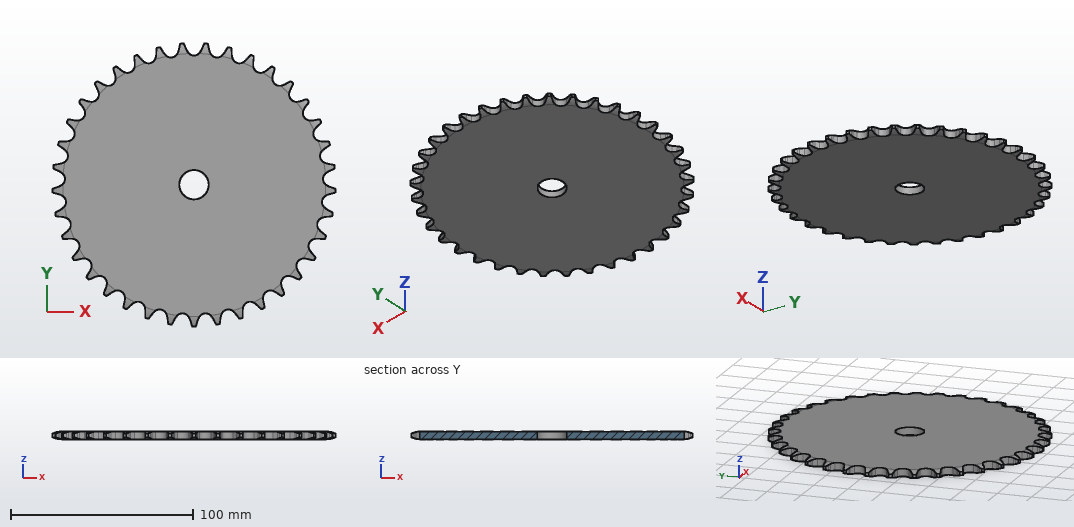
import math

import cadquery as cq

TOOTH_COUNT = 37
CHAIN_PITCH = 12.7
ROLLER_DIAMETER = 7.75
TIP_RADIUS = 77.85
PLATE_THICKNESS = 4.5
BORE_DIAMETER = 16.0
SIDE_RELIEF_RADIUS = 13.0
SIDE_RELIEF_DEPTH = 1.3

SEAT_RATIO = 1.005
WORKING_RATIO = 1.3025
WORKING_CENTER_RATIO = 0.8
TOPPING_CENTER_RATIO = 1.4
SEAT_CLEARANCE = 0.0762
WORKING_CLEARANCE = 0.0381

TOOTH_ANGLE = 2 * math.pi / TOOTH_COUNT
PITCH_RADIUS = CHAIN_PITCH / (2 * math.sin(TOOTH_ANGLE / 2))
SEAT_RADIUS = (SEAT_RATIO * ROLLER_DIAMETER + SEAT_CLEARANCE) / 2
SEAT_HALF_ANGLE = math.radians(90 - (35 + 60 / TOOTH_COUNT))
WORKING_RADIUS = WORKING_RATIO * ROLLER_DIAMETER + WORKING_CLEARANCE
WORKING_ANGLE = math.radians(18 - 56 / TOOTH_COUNT)
TOPPING_ANGLE = math.radians(17 - 64 / TOOTH_COUNT)
STRAIGHT_LENGTH = ROLLER_DIAMETER * (
    TOPPING_CENTER_RATIO * math.sin(TOPPING_ANGLE) - WORKING_CENTER_RATIO * math.sin(WORKING_ANGLE)
)
CENTER_SPACING = ROLLER_DIAMETER * (
    TOPPING_CENTER_RATIO * math.cos(TOPPING_ANGLE) + WORKING_CENTER_RATIO * math.cos(WORKING_ANGLE)
)
TOPPING_RADIUS = CENTER_SPACING - WORKING_RADIUS

SIDE_RELIEF_WIDTH = math.sqrt(SIDE_RELIEF_RADIUS**2 - (SIDE_RELIEF_RADIUS - SIDE_RELIEF_DEPTH) ** 2)
FACE_RADIUS = TIP_RADIUS - SIDE_RELIEF_WIDTH


def on_circle(center, radius, angle):
    """Point at the given angle on a circle."""
    return (center[0] + radius * math.cos(angle), center[1] + radius * math.sin(angle))


def rotate(point, angle):
    """Point turned about the sprocket axis."""
    x, y = point
    return (
        x * math.cos(angle) - y * math.sin(angle),
        x * math.sin(angle) + y * math.cos(angle),
    )


def mirror(point):
    """Point mirrored across the Y axis."""
    return (-point[0], point[1])


def gap_half_profile():
    """Named points of the right half of the tooth gap centred on +Y, from its bottom to the tooth tip."""
    seat_center = (0, PITCH_RADIUS)
    seat_end_angle = SEAT_HALF_ANGLE - math.pi / 2
    seat_end = on_circle(seat_center, SEAT_RADIUS, seat_end_angle)

    working_center = on_circle(seat_center, SEAT_RADIUS - WORKING_RADIUS, seat_end_angle)
    working_end_angle = seat_end_angle + WORKING_ANGLE
    working_end = on_circle(working_center, WORKING_RADIUS, working_end_angle)

    straight_end = on_circle(working_end, STRAIGHT_LENGTH, working_end_angle + math.pi / 2)

    topping_center = on_circle(straight_end, TOPPING_RADIUS, working_end_angle)
    center_distance = math.hypot(*topping_center)
    cosine = (TIP_RADIUS**2 + center_distance**2 - TOPPING_RADIUS**2) / (2 * TIP_RADIUS * center_distance)
    tip_angle = math.atan2(topping_center[1], topping_center[0]) + math.acos(cosine)
    tip_corner = on_circle((0, 0), TIP_RADIUS, tip_angle)
    topping_start_angle = working_end_angle + math.pi
    topping_end_angle = math.atan2(tip_corner[1] - topping_center[1], tip_corner[0] - topping_center[0])
    topping_middle_angle = (topping_start_angle + topping_end_angle) / 2

    return {
        "seat_bottom": (0, PITCH_RADIUS - SEAT_RADIUS),
        "seat_end": seat_end,
        "working_middle": on_circle(working_center, WORKING_RADIUS, seat_end_angle + WORKING_ANGLE / 2),
        "working_end": working_end,
        "straight_end": straight_end,
        "topping_middle": on_circle(topping_center, TOPPING_RADIUS, topping_middle_angle),
        "tip_corner": tip_corner,
    }


def toothed_plate():
    """Flat plate with the full tooth outline; a tooth gap is centred on +Y."""
    gap = gap_half_profile()
    outline = cq.Workplane("XY").moveTo(*mirror(gap["tip_corner"]))
    for index in range(TOOTH_COUNT):
        turn = -index * TOOTH_ANGLE
        right = {name: rotate(point, turn) for name, point in gap.items()}
        left = {name: rotate(mirror(point), turn) for name, point in gap.items()}
        tip_middle = rotate((0, TIP_RADIUS), turn - TOOTH_ANGLE / 2)
        next_corner = rotate(left["tip_corner"], -TOOTH_ANGLE)
        outline = (
            outline.threePointArc(left["topping_middle"], left["straight_end"])
            .lineTo(*left["working_end"])
            .threePointArc(left["working_middle"], left["seat_end"])
            .threePointArc(right["seat_bottom"], right["seat_end"])
            .threePointArc(right["working_middle"], right["working_end"])
            .lineTo(*right["straight_end"])
            .threePointArc(right["topping_middle"], right["tip_corner"])
            .threePointArc(tip_middle, next_corner)
        )
    return outline.close().extrude(PLATE_THICKNESS / 2, both=True)


def relieved_disc():
    """Disc whose rim is thinned on both faces by arcs tangent to the faces."""
    half = PLATE_THICKNESS / 2
    rim_half = half - SIDE_RELIEF_DEPTH
    arc_angle = math.asin(SIDE_RELIEF_WIDTH / SIDE_RELIEF_RADIUS) / 2
    arc_center = (FACE_RADIUS, half - SIDE_RELIEF_RADIUS)
    arc_middle = on_circle(arc_center, SIDE_RELIEF_RADIUS, math.pi / 2 - arc_angle)
    return (
        cq.Workplane("XZ")
        .moveTo(0, -half)
        .lineTo(FACE_RADIUS, -half)
        .threePointArc((arc_middle[0], -arc_middle[1]), (TIP_RADIUS, -rim_half))
        .lineTo(TIP_RADIUS, rim_half)
        .threePointArc(arc_middle, (FACE_RADIUS, half))
        .lineTo(0, half)
        .close()
        .revolve(360, (0, 0, 0), (0, 1, 0))
    )


def bore():
    """Cutter for the central through bore."""
    return cq.Workplane("XY").circle(BORE_DIAMETER / 2).extrude(PLATE_THICKNESS, both=True)


result = toothed_plate().intersect(relieved_disc()).cut(bore())